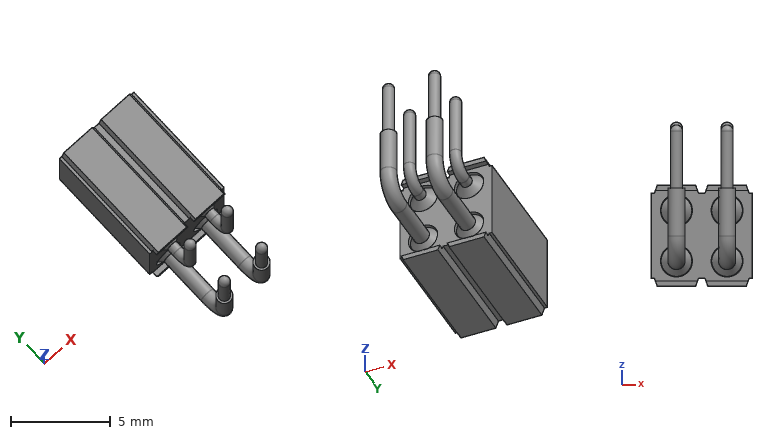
import cadquery as cq
import math

pitch = 2.54

housing_width = 2 * pitch
housing_height = 2 * pitch
core_length = 6.7
rail_height = 0.4
rail_top_width = 1.93
rail_flank_angle = 20.0
rail_overhang = 0.3
overhang_thickness = 0.27

core_height = housing_height - 2 * rail_height

bore_diameter = 1.6
barrel_clearance = 0.03
bore_depth = 4.0
cone_base_recess = 0.18

wire_diameter = 0.62
sleeve_diameter = 0.86
upper_reach = 1.61
lower_reach = upper_reach + pitch
upper_bend_radius = 0.92
lower_bend_radius = 1.25
upper_tip_z = 5.7
lower_tip_z = 5.56
sleeve_top_z = 2.39

column_positions = (-pitch / 2, pitch / 2)
upper_row_z = pitch / 2
lower_row_z = -pitch / 2


def make_rail(column_x):
    """Top rail of one column, undercut where it overhangs the front face."""
    half_top = rail_top_width / 2
    half_base = half_top + rail_height * math.tan(math.radians(rail_flank_angle))
    core_top_z = core_height / 2
    rail_top_z = housing_height / 2
    rail = (
        cq.Workplane("XZ", origin=(column_x, core_length, 0))
        .moveTo(-half_base, core_top_z)
        .lineTo(half_base, core_top_z)
        .lineTo(half_top, rail_top_z)
        .lineTo(-half_top, rail_top_z)
        .close()
        .extrude(core_length + rail_overhang)
    )
    undercut = cq.Workplane("XY").box(
        2 * half_base,
        rail_overhang,
        rail_height - overhang_thickness,
        centered=(True, False, False),
    ).translate((column_x, -rail_overhang, core_top_z))
    return rail.cut(undercut)


def make_housing():
    housing = cq.Workplane("XY").box(
        housing_width, core_length, core_height, centered=(True, False, True)
    )
    for column_x in column_positions:
        rail = make_rail(column_x)
        housing = housing.union(rail).union(rail.mirror("XY"))
    bore_centers = [(x, z) for x in column_positions for z in (upper_row_z, lower_row_z)]
    bores = cq.Workplane("XZ").pushPoints(bore_centers).circle(bore_diameter / 2).extrude(-bore_depth)
    return housing.cut(bores)


def make_barrel(stem_diameter):
    """Barrel on the Y axis, tapering at 45 degrees to the stem diameter."""
    barrel_radius = bore_diameter / 2 - barrel_clearance
    stem_radius = stem_diameter / 2
    cone_tip_y = cone_base_recess - (barrel_radius - stem_radius)
    return (
        cq.Workplane("XY")
        .moveTo(0, bore_depth)
        .lineTo(barrel_radius, bore_depth)
        .lineTo(barrel_radius, cone_base_recess)
        .lineTo(stem_radius, cone_tip_y)
        .lineTo(0, cone_tip_y)
        .close()
        .revolve(360, (0, 0, 0), (0, 1, 0))
    )


def make_bent_stem(stem_diameter, reach, bend_radius, rise):
    """Round stem that runs from inside the barrel toward -Y and bends up to +Z."""
    bend_start_y = bend_radius - reach
    bend_middle = (
        -reach + bend_radius * (1 - math.sin(math.radians(45))),
        bend_radius * (1 - math.cos(math.radians(45))),
    )
    path = (
        cq.Workplane("YZ")
        .moveTo(cone_base_recess, 0)
        .lineTo(bend_start_y, 0)
        .threePointArc(bend_middle, (-reach, bend_radius))
        .lineTo(-reach, rise)
    )
    return (
        cq.Workplane("XZ", origin=(0, cone_base_recess, 0))
        .circle(stem_diameter / 2)
        .sweep(path)
    )


def make_round_tip(reach, tip_rise):
    """Hemispherical end of the upright lead."""
    tip_radius = wire_diameter / 2
    return cq.Workplane("XY").sphere(tip_radius).translate((0, -reach, tip_rise - tip_radius))


def make_upper_pin():
    """Plain bent pin, with its barrel axis through the origin."""
    tip_rise = upper_tip_z - upper_row_z
    dome_start = tip_rise - wire_diameter / 2
    stem = make_bent_stem(wire_diameter, upper_reach, upper_bend_radius, dome_start)
    return make_barrel(wire_diameter).union(stem).union(make_round_tip(upper_reach, tip_rise))


def make_lower_pin():
    """Bent pin with a thick stem that steps down to a thin upright wire."""
    tip_rise = lower_tip_z - lower_row_z
    sleeve_rise = sleeve_top_z - lower_row_z
    dome_start = tip_rise - wire_diameter / 2
    stem = make_bent_stem(sleeve_diameter, lower_reach, lower_bend_radius, sleeve_rise)
    wire = (
        cq.Workplane("XY", origin=(0, -lower_reach, sleeve_rise))
        .circle(wire_diameter / 2)
        .extrude(dome_start - sleeve_rise)
    )
    pin = make_barrel(sleeve_diameter).union(stem).union(wire)
    return pin.union(make_round_tip(lower_reach, tip_rise))


housing = make_housing()
upper_pin = make_upper_pin()
lower_pin = make_lower_pin()

pins = []
for column_x in column_positions:
    pins.append(upper_pin.translate((column_x, 0, upper_row_z)).val())
    pins.append(lower_pin.translate((column_x, 0, lower_row_z)).val())

result = cq.Compound.makeCompound([housing.val(), *pins])